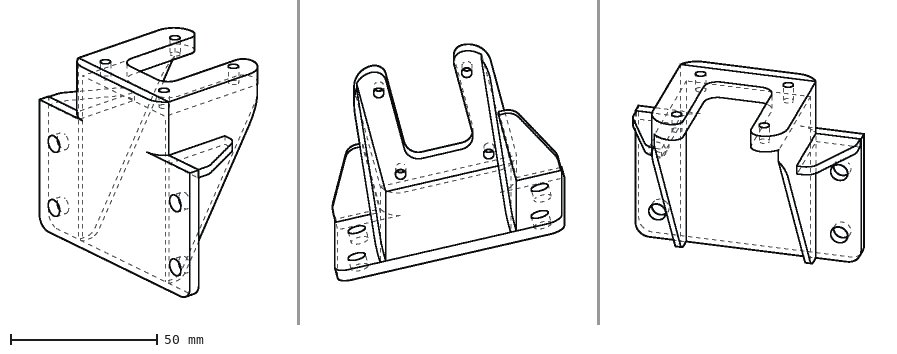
import cadquery as cq
import math

plate_width = 80.0
plate_height = 48.0
plate_thickness = 4.0
plate_corner_radius = 5.0
plate_hole_diameter = 6.0
plate_hole_x = 32.2
plate_hole_heights = (10.0, 34.0)

total_height = 68.0
total_depth = 48.0
bracket_width = 48.0
flange_thickness = 6.0
side_wall_thickness = 2.0
outer_tip_radius = 8.0
inner_tip_radius = 4.0
notch_width = 24.0
notch_floor_y = 13.0
notch_corner_radius = 5.0
flange_hole_diameter = 3.5
flange_hole_spacing = 31.0
first_flange_hole_y = 9.0
wall_foot_y = 10.0
wall_foot_radius = 5.0

tongue_edge_radius = 8.0

shelf_thickness = 3.0
shelf_outer_x = 39.7
shelf_edge_end_y = 9.0
shelf_back_y = 29.0
shelf_back_x = 29.2
shelf_corner_radius = 5.0

bracket_half_width = bracket_width / 2
notch_half_width = notch_width / 2
flange_bottom = total_height - flange_thickness
side_signs = (-1, 1)


def front_tongue():
    """Raised middle of the plate, with front edges rounded until they reach the bracket sides."""
    arc_centre_y = tongue_edge_radius
    arc_centre_x = bracket_half_width - math.sqrt(
        tongue_edge_radius**2 - (arc_centre_y - plate_thickness) ** 2
    )
    return (
        cq.Workplane("XY")
        .workplane(offset=plate_height)
        .moveTo(-arc_centre_x, 0)
        .lineTo(arc_centre_x, 0)
        .radiusArc((bracket_half_width, plate_thickness), -tongue_edge_radius)
        .lineTo(-bracket_half_width, plate_thickness)
        .radiusArc((-arc_centre_x, 0), -tongue_edge_radius)
        .close()
        .extrude(total_height - plate_height)
    )


def make_plate():
    """Mounting plate with rounded lower corners, four bolt holes and the tongue."""
    plate = (
        cq.Workplane("XY")
        .box(plate_width, plate_thickness, plate_height, centered=(True, False, False))
        .edges("|Y and <Z")
        .fillet(plate_corner_radius)
    )
    hole_centres = [(sign * plate_hole_x, height) for sign in side_signs for height in plate_hole_heights]
    holes = (
        cq.Workplane("XZ")
        .pushPoints(hole_centres)
        .circle(plate_hole_diameter / 2)
        .extrude(-plate_thickness)
    )
    return plate.union(front_tongue()).cut(holes)


def bracket_block():
    """Full-height block behind the plate, with its two outer rear corners rounded."""
    return (
        cq.Workplane("XY")
        .box(bracket_width, total_depth - plate_thickness, total_height, centered=(True, False, False))
        .translate((0, plate_thickness, 0))
        .edges("|Z and >Y")
        .fillet(outer_tip_radius)
    )


def bracket_side_profile():
    """Side outline of the bracket: straight flange above, sloping wall below."""
    return (
        cq.Workplane("YZ")
        .polyline(
            [
                (plate_thickness, 0),
                (wall_foot_y, 0),
                (total_depth, flange_bottom),
                (total_depth, total_height),
                (plate_thickness, total_height),
            ]
        )
        .close()
        .extrude(bracket_half_width, both=True)
        .edges(cq.selectors.NearestToPointSelector((0, wall_foot_y, 0)))
        .fillet(wall_foot_radius)
    )


def space_between_walls():
    """Open space below the flange, between the two side walls."""
    inner_width = bracket_width - 2 * side_wall_thickness
    return (
        cq.Workplane("XY")
        .box(inner_width, total_depth, flange_bottom, centered=(True, False, False))
        .translate((0, plate_thickness, 0))
    )


def flange_notch():
    """Notch between the two arms: rounded at its floor, flared by the rounded arm tips."""
    tip_start_y = total_depth - inner_tip_radius
    tip_half_width = notch_half_width + inner_tip_radius
    return (
        cq.Workplane("XY")
        .moveTo(-notch_half_width + notch_corner_radius, notch_floor_y)
        .lineTo(notch_half_width - notch_corner_radius, notch_floor_y)
        .radiusArc((notch_half_width, notch_floor_y + notch_corner_radius), -notch_corner_radius)
        .lineTo(notch_half_width, tip_start_y)
        .radiusArc((tip_half_width, total_depth), inner_tip_radius)
        .lineTo(-tip_half_width, total_depth)
        .radiusArc((-notch_half_width, tip_start_y), inner_tip_radius)
        .lineTo(-notch_half_width, notch_floor_y + notch_corner_radius)
        .radiusArc((-notch_half_width + notch_corner_radius, notch_floor_y), -notch_corner_radius)
        .close()
        .extrude(total_height)
    )


def flange_holes():
    """Square pattern of four holes through the flange."""
    return (
        cq.Workplane("XY")
        .center(0, first_flange_hole_y + flange_hole_spacing / 2)
        .rect(flange_hole_spacing, flange_hole_spacing, forConstruction=True)
        .vertices()
        .circle(flange_hole_diameter / 2)
        .extrude(total_height)
    )


def make_bracket():
    """U-shaped flange and its two side walls in one piece."""
    return (
        bracket_block()
        .intersect(bracket_side_profile())
        .cut(space_between_walls())
        .cut(flange_notch())
        .cut(flange_holes())
    )


def make_shelf(side):
    """Tapered shelf in the corner between plate and side wall; side is -1 or +1 along X."""
    outline = [
        (side * bracket_half_width, plate_thickness),
        (side * shelf_outer_x, plate_thickness),
        (side * shelf_outer_x, shelf_edge_end_y),
        (side * shelf_back_x, shelf_back_y),
        (side * bracket_half_width, shelf_back_y),
    ]
    shelf = (
        cq.Workplane("XY")
        .workplane(offset=plate_height - shelf_thickness)
        .polyline(outline)
        .close()
        .extrude(shelf_thickness)
    )
    mid_height = plate_height - shelf_thickness / 2
    for corner_x, corner_y in ((shelf_outer_x, shelf_edge_end_y), (shelf_back_x, shelf_back_y)):
        corner = (side * corner_x, corner_y, mid_height)
        shelf = shelf.edges(cq.selectors.NearestToPointSelector(corner)).fillet(shelf_corner_radius)
    return shelf


plate = make_plate()
bracket = make_bracket()
shelves = [make_shelf(side) for side in side_signs]

result = cq.Compound.makeCompound([plate.val(), bracket.val(), *[shelf.val() for shelf in shelves]])